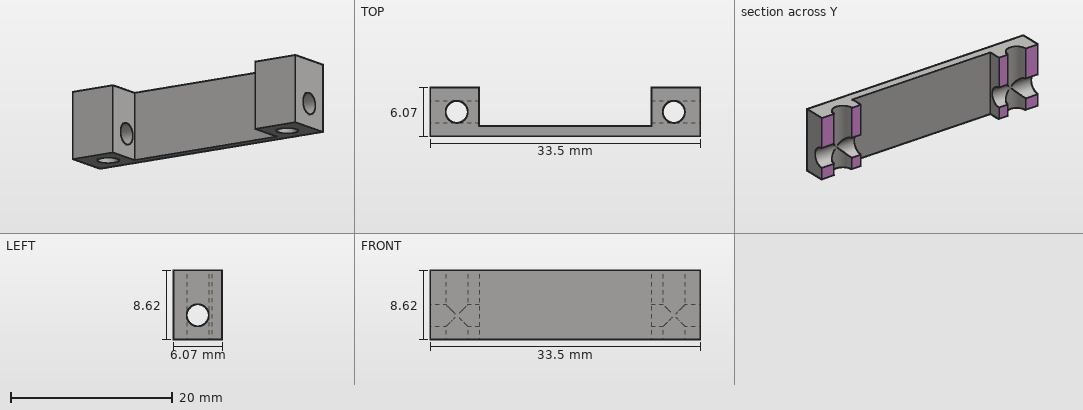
import cadquery as cq

length = 33.53
depth = 6.07
height = 8.62

end_block_length = 6.07
wall_thickness = 1.3

hole_diameter = 2.7
vertical_hole_inset = 3.3
cross_hole_height = 3.02
hole_y = depth / 2

bar = cq.Workplane("XY").box(length, depth, height, centered=False)

recess = (
    cq.Workplane("XY")
    .box(length - 2 * end_block_length, depth - wall_thickness, height, centered=False)
    .translate((end_block_length, wall_thickness, 0))
)

vertical_holes = (
    cq.Workplane("XY")
    .pushPoints([(vertical_hole_inset, hole_y), (length - vertical_hole_inset, hole_y)])
    .circle(hole_diameter / 2)
    .extrude(height)
)

cross_hole = (
    cq.Workplane("YZ")
    .center(hole_y, cross_hole_height)
    .circle(hole_diameter / 2)
    .extrude(length)
)

result = bar.cut(recess).cut(vertical_holes).cut(cross_hole)